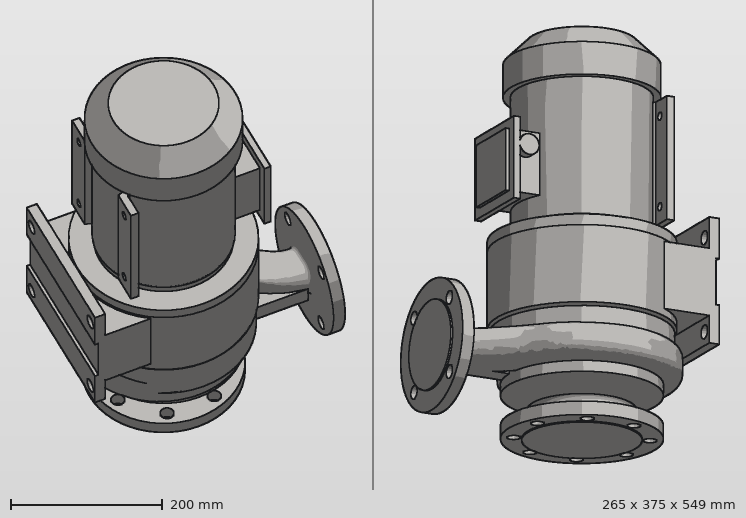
import cadquery as cq
import math

suction_face_height = 1.5
suction_flange_top = 20.5
suction_neck_top = 35.0
cone_base = 41.5
cone_top = 61.5
volute_height = 46.5
discharge_z = 100.0
casing_top = 147.5
lantern_base = 152.0
motor_base = 258.5
motor_flange_top = 273.5
motor_neck_top = 284.0
cowl_base = 473.0
cowl_shoulder = 518.0
overall_height = 549.0

suction_face_radius = 79.5
suction_flange_radius = 107.5
suction_neck_radius = 69.5
suction_flange_fillet = 8.0
cone_base_radius = 72.5
drum_radius = 107.5
casing_radius = 122.5
casing_neck_radius = 102.0
lantern_radius = 125.0
motor_neck_radius = 93.0
motor_radius = 94.5
cowl_radius = 104.5
cowl_top_radius = 73.0

bolt_hole_diameter = 18.0
suction_bolt_circle_radius = 90.0
suction_bolt_count = 8
discharge_bolt_circle_radius = 72.5
discharge_bolt_count = 4

discharge_end_y = 225.0
discharge_face_height = 3.0
discharge_face_radius = 61.0
discharge_flange_radius = 90.0
discharge_flange_thickness = 17.0
discharge_flange_fillet = 7.5
stub_length = 9.0
pipe_left_x = -36.0
pipe_right_x = 30.0
pipe_corner_radius = 22.5
web_front_y = 82.5
discharge_flange_back_y = discharge_end_y - discharge_face_height - discharge_flange_thickness
stub_start_y = discharge_flange_back_y - stub_length
neck_ends = ((pipe_left_x, stub_start_y), (pipe_right_x, stub_start_y))

spiral_start_radius = 140.0
spiral_drop_per_turn = 41.5
spiral_inner_radius = 71.5
spiral_inner_corner_radius = 5.5
spiral_corner_radius = 16.0
spiral_corner_drop_per_turn = 15.5
spiral_start_angle = 180
spiral_sweep = 270
spiral_step = 30

bracket_half_width = 105.0
bracket_face_y = -150.0
bracket_back_y = -135.0
bracket_base = 124.5
bracket_top = 298.5
bracket_arm_base = 162.5
bracket_arm_top = 255.5
bracket_groove_depth = 5.0
bracket_groove_base = 179.0
bracket_groove_top = 243.0
bracket_hole_diameter = 18.5
bracket_hole_x = 90.0
bracket_hole_levels = (144.0, 274.0)

pad_base = 291.5
pad_top = 462.0
pad_outer_x = 90.5
pad_inner_x = 51.5
pad_front_y = -90.5
pad_back_y = -79.5
pad_rib_inner_point = (48.0, -79.5)
pad_rib_root_point = (46.5, -71.5)
pad_rib_outer_point = (55.5, -75.0)
pad_rib_corner_x = 58.0
pad_hole_diameter = 11.0
pad_hole_x = 69.5
pad_hole_levels = (314.5, 440.0)

box_center_z = 357.5
box_size = 85.5
box_end_y = 134.5
cover_size = 113.0
cover_back_y = 120.0
cover_thickness = 9.5
gland_radius = 14.0
gland_y = 106.5
gland_z = 378.0


def block(x_range, y_range, z_range):
    """Box given by its limits along the three axes."""
    sizes = [limits[1] - limits[0] for limits in (x_range, y_range, z_range)]
    corner = (x_range[0], y_range[0], z_range[0])
    return cq.Workplane("XY").box(*sizes, centered=False).translate(corner)


def disc(radius, base, top):
    """Cylinder on the shaft axis between two levels."""
    return cq.Workplane("XY").workplane(offset=base).circle(radius).extrude(top - base)


def holes_along_y(points, diameter, y_front, y_back):
    """Cylinders parallel to Y at the given (x, z) points."""
    plane = cq.Plane(origin=(0, y_front, 0), xDir=(-1, 0, 0), normal=(0, 1, 0))
    mirrored_points = [(-x, z) for x, z in points]
    return cq.Workplane(plane).pushPoints(mirrored_points).circle(diameter / 2).extrude(y_back - y_front)


def flow_section(outer, inner, outer_corner_radius, inner_corner_radius):
    """Upright rounded rectangle between two (x, y) points, centred in height on the discharge mid-plane."""
    dx = outer[0] - inner[0]
    dy = outer[1] - inner[1]
    center = ((outer[0] + inner[0]) / 2, (outer[1] + inner[1]) / 2, discharge_z)
    plane = cq.Plane(origin=center, xDir=(dx, dy, 0), normal=(dy, -dx, 0))
    rectangle = cq.Workplane(plane).rect(math.hypot(dx, dy), volute_height).val()
    outer_end = cq.Vector(*outer, discharge_z)
    corners = sorted(rectangle.Vertices(), key=lambda vertex: (vertex.Center() - outer_end).Length)
    outer_rounded = rectangle.fillet2D(outer_corner_radius, corners[:2])
    return outer_rounded.fillet2D(inner_corner_radius, corners[2:])


def pump_core():
    """Turned stack from the suction flange up to the lantern."""
    neck_fillet_end = suction_flange_top + suction_flange_fillet
    profile = (
        cq.Workplane("XZ")
        .moveTo(0, 0)
        .lineTo(suction_face_radius, 0)
        .lineTo(suction_face_radius, suction_face_height)
        .lineTo(suction_flange_radius, suction_face_height)
        .lineTo(suction_flange_radius, suction_flange_top)
        .lineTo(suction_neck_radius + suction_flange_fillet, suction_flange_top)
        .radiusArc((suction_neck_radius, neck_fillet_end), suction_flange_fillet)
        .lineTo(suction_neck_radius, suction_neck_top)
        .tangentArcPoint((cone_base_radius, cone_base), relative=False)
        .lineTo(drum_radius, cone_top)
        .lineTo(drum_radius, discharge_z)
        .lineTo(casing_radius, discharge_z)
        .lineTo(casing_radius, casing_top)
        .lineTo(casing_neck_radius, casing_top)
        .lineTo(casing_neck_radius, lantern_base)
        .lineTo(lantern_radius, lantern_base)
        .lineTo(lantern_radius, motor_base)
        .lineTo(0, motor_base)
        .close()
    )
    core = profile.revolve(360, (0, 0, 0), (0, 1, 0))
    bolt_holes = (
        cq.Workplane("XY")
        .polarArray(suction_bolt_circle_radius, 180 / suction_bolt_count, 360, suction_bolt_count)
        .circle(bolt_hole_diameter / 2)
        .extrude(suction_flange_top)
    )
    return core.cut(bolt_holes)


def volute():
    """Discharge pipe bending into a spiral whose radius and corner rounding shrink along the flow path."""
    stations = [
        (*neck_ends, pipe_corner_radius, pipe_corner_radius),
        ((-42.0, 175.5), (26.5, 175.5), 22.0, 16.5),
        ((-60.5, 147.0), (17.5, 151.0), 21.5, 10.0),
        ((-87.0, 116.5), (-8.0, 110.0), 20.0, spiral_inner_corner_radius),
        ((-117.0, 84.0), (-49.5, 57.5), 18.0, spiral_inner_corner_radius),
        ((-134.5, 41.5), (-67.5, 24.5), 17.0, spiral_inner_corner_radius),
    ]
    for turn_angle in range(0, spiral_sweep + 1, spiral_step):
        angle = math.radians(spiral_start_angle + turn_angle)
        direction = (math.cos(angle), math.sin(angle))
        outer_radius = spiral_start_radius - spiral_drop_per_turn * turn_angle / 360
        corner_radius = spiral_corner_radius - spiral_corner_drop_per_turn * turn_angle / 360
        outer = tuple(outer_radius * part for part in direction)
        inner = tuple(spiral_inner_radius * part for part in direction)
        stations.append((outer, inner, corner_radius, spiral_inner_corner_radius))
    sections = [flow_section(*station) for station in stations]
    return cq.Workplane(cq.Solid.makeLoft(sections))


def discharge_flange():
    """Bolted flange with a raised face and a short filleted stub that starts the pipe."""
    plane = cq.Plane(origin=(0, discharge_end_y, discharge_z), xDir=(1, 0, 0), normal=(0, -1, 0))
    raised_face = cq.Workplane(plane).circle(discharge_face_radius).extrude(discharge_face_height)
    plate = (
        cq.Workplane(plane)
        .workplane(offset=discharge_face_height)
        .circle(discharge_flange_radius)
        .extrude(discharge_flange_thickness)
    )
    stub_wire = flow_section(*neck_ends, pipe_corner_radius, pipe_corner_radius)
    stub = cq.Workplane(cq.Solid.extrudeLinear(stub_wire, [], cq.Vector(0, stub_length, 0)))
    flange = plate.union(stub)
    margin = stub_length / 10
    stub_root = cq.selectors.BoxSelector(
        (-discharge_face_radius, discharge_flange_back_y - margin, 0),
        (discharge_face_radius, discharge_flange_back_y + margin, 2 * discharge_z),
        boundingbox=True,
    )
    flange = flange.edges(stub_root).fillet(discharge_flange_fillet)
    bolt_holes = (
        cq.Workplane(plane)
        .polarArray(discharge_bolt_circle_radius, 180 / discharge_bolt_count, 360, discharge_bolt_count)
        .circle(bolt_hole_diameter / 2)
        .extrude(discharge_face_height + discharge_flange_thickness)
    )
    return flange.union(raised_face).cut(bolt_holes)


def discharge_web():
    """Straight web in the lower half of the volute, filling the hollow of the pipe bend."""
    return block((0, pipe_right_x), (web_front_y, stub_start_y), (discharge_z - volute_height / 2, discharge_z))


def mounting_bracket():
    """Bolted foot plate with a relieved middle band, carried on a block off the lantern."""
    width = (-bracket_half_width, bracket_half_width)
    plate = block(width, (bracket_face_y, bracket_back_y), (bracket_base, bracket_top))
    groove = block(
        width,
        (bracket_face_y, bracket_face_y + bracket_groove_depth),
        (bracket_groove_base, bracket_groove_top),
    )
    arm = block(width, (bracket_back_y, 0), (bracket_arm_base, bracket_arm_top))
    hole_points = [(x, z) for x in (-bracket_hole_x, bracket_hole_x) for z in bracket_hole_levels]
    holes = holes_along_y(hole_points, bracket_hole_diameter, bracket_face_y, bracket_back_y)
    return plate.cut(groove).cut(holes).union(arm)


def motor_core():
    """Turned flange, neck, frame and chamfered fan cowl."""
    flange = disc(lantern_radius, motor_base, motor_flange_top)
    neck = disc(motor_neck_radius, motor_flange_top, motor_neck_top)
    frame = disc(motor_radius, motor_neck_top, cowl_base)
    cowl = (
        cq.Workplane("XZ")
        .polyline([
            (0, cowl_base),
            (cowl_radius, cowl_base),
            (cowl_radius, cowl_shoulder),
            (cowl_top_radius, overall_height),
            (0, overall_height),
        ])
        .close()
        .revolve(360, (0, 0, 0), (0, 1, 0))
    )
    return flange.union(neck).union(frame).union(cowl)


def motor_pad():
    """Flat drilled pad on the +X side, joined to the frame by a slanted rib."""
    pad = (
        cq.Workplane("XY")
        .workplane(offset=pad_base)
        .polyline([
            (pad_outer_x, pad_front_y),
            (pad_inner_x, pad_front_y),
            pad_rib_inner_point,
            pad_rib_root_point,
            pad_rib_outer_point,
            (pad_rib_corner_x, pad_back_y),
            (pad_outer_x, pad_back_y),
        ])
        .close()
        .extrude(pad_top - pad_base)
    )
    hole_points = [(pad_hole_x, z) for z in pad_hole_levels]
    return pad.cut(holes_along_y(hole_points, pad_hole_diameter, pad_front_y, pad_back_y))


def terminal_box():
    """Square box with an overhanging cover plate and a cable gland on its -X side."""
    def centered(size, center):
        return (center - size / 2, center + size / 2)

    box = block(centered(box_size, 0), (0, box_end_y), centered(box_size, box_center_z))
    cover = block(
        centered(cover_size, 0),
        (cover_back_y, cover_back_y + cover_thickness),
        centered(cover_size, box_center_z),
    )
    gland = (
        cq.Workplane("YZ", origin=(-cover_size / 2, gland_y, gland_z))
        .circle(gland_radius)
        .extrude(cover_size / 2)
    )
    return box.union(cover).union(gland)


pump = (
    pump_core()
    .union(volute())
    .union(discharge_flange())
    .union(discharge_web())
    .union(mounting_bracket())
)

right_pad = motor_pad()
left_pad = right_pad.mirror("YZ")
motor = motor_core().union(right_pad).union(left_pad).union(terminal_box())

result = cq.Compound.makeCompound([pump.val(), motor.val()])